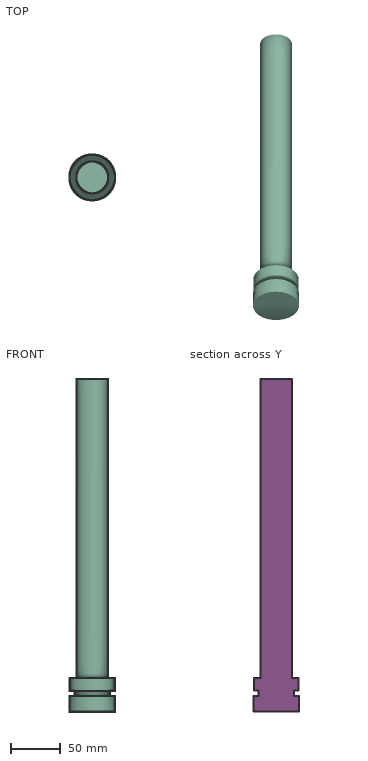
import cadquery as cq

rod_diameter = 32.0
groove_diameter = 36.0
upper_land_diameter = 45.5
lower_land_diameter = 46.0

overall_length = 334.0
lower_land_length = 16.0
groove_width = 5.0
upper_land_length = 13.0
head_length = lower_land_length + groove_width + upper_land_length
rod_length = overall_length - head_length


def add_cylinder(body, diameter, length):
    """Extend the body upward with a coaxial cylinder standing on its top face."""
    return body.faces(">Z").workplane().circle(diameter / 2).extrude(length)


def make_head():
    """Head with two lands and a ring groove between them, standing on Z = 0."""
    lower_land = cq.Workplane("XY").circle(lower_land_diameter / 2).extrude(lower_land_length)
    grooved = add_cylinder(lower_land, groove_diameter, groove_width)
    return add_cylinder(grooved, upper_land_diameter, upper_land_length)


result = add_cylinder(make_head(), rod_diameter, rod_length)